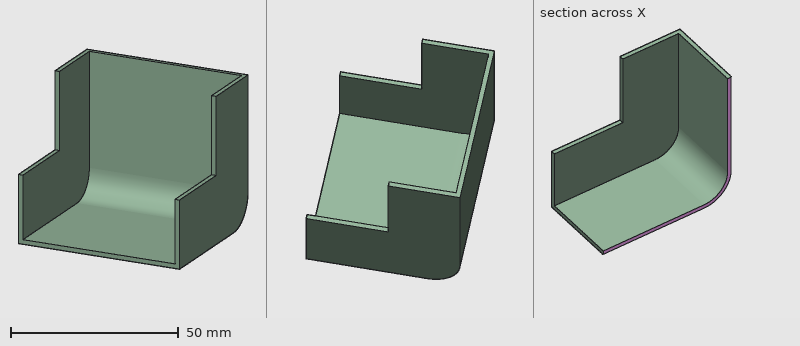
import cadquery as cq

width = 53.4
leg_length = 46.8
leg_depth = 21.85
wall = 1.5
outer_radius = 10.0

inner_radius = outer_radius - wall
inner_width = width - 2 * wall


def elbow_side():
    """L-shaped side outline, extruded across the width; the bend is at the back bottom edge."""
    return (
        cq.Workplane("YZ")
        .moveTo(0, 0)
        .lineTo(leg_length, 0)
        .lineTo(leg_length, leg_length)
        .lineTo(leg_length - leg_depth, leg_length)
        .lineTo(leg_length - leg_depth, leg_depth)
        .lineTo(0, leg_depth)
        .close()
        .extrude(width / 2, both=True)
        .edges("|X and >Y and <Z")
        .fillet(outer_radius)
    )


def channel_space():
    """Space between the side walls, open to the front and top and rounded along the bend."""
    space_length = leg_length - wall
    return (
        cq.Workplane("XY")
        .box(inner_width, space_length, space_length, centered=(True, False, False))
        .translate((0, 0, wall))
        .edges("|X and >Y and <Z")
        .fillet(inner_radius)
    )


result = elbow_side().cut(channel_space())